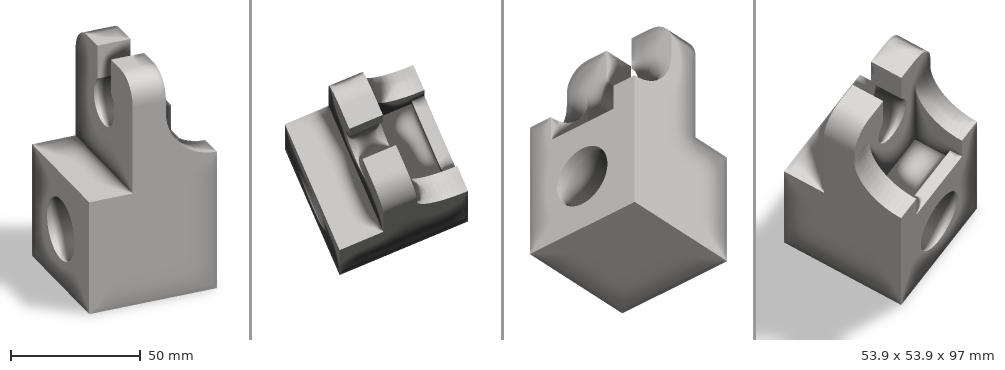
import cadquery as cq

width = 53.9
depth = width
height = 97.0
shoulder_height = height / 2

shoulder_depth = 18.3
cove_radius = 21.5
corner_radius = cove_radius / 2

slot_width = 12.9
keyhole_diameter = 19.4
keyhole_z = height - cove_radius

bore_diameter = 25.9
bore_z = shoulder_height / 2

ear_height = 59.2
ear_thickness = corner_radius
lip_thickness = ear_thickness / 2
floor_z = shoulder_height - lip_thickness

plate_back = depth - cove_radius
channel_width = width - 2 * ear_thickness


def make_body():
    """Side profile, with its concave quarter arc, extruded across the width."""
    arc_top = ear_height + cove_radius
    profile = (
        cq.Workplane("YZ")
        .lineTo(depth, 0)
        .lineTo(depth, ear_height)
        .radiusArc((plate_back, arc_top), cove_radius)
        .lineTo(plate_back, height)
        .lineTo(shoulder_depth, height)
        .lineTo(shoulder_depth, shoulder_height)
        .lineTo(0, shoulder_height)
        .close()
    )
    body = profile.extrude(width / 2, both=True)
    top_corners = body.faces(">Z").edges("|Y")
    return top_corners.fillet(corner_radius)


def box_cut(size_x, y_start, z_start):
    """Cutter centred in X, running to the back and the top of the block."""
    size_y = depth - y_start
    size_z = height - z_start
    return cq.Workplane("XY", origin=(0, y_start, z_start)).box(
        size_x, size_y, size_z, centered=(True, False, False)
    )


def round_cut(diameter, z):
    """Cylindrical cutter through the full depth at height z."""
    return cq.Workplane("XZ", origin=(0, 0, z)).circle(diameter / 2).extrude(-depth)


def channel_cut():
    """Channel behind the plate: open above the lip, deeper in front of it."""
    upper = box_cut(channel_width, plate_back, shoulder_height)
    lip = box_cut(channel_width, depth - lip_thickness, floor_z)
    lower = box_cut(channel_width, plate_back, floor_z).cut(lip)
    return upper.union(lower)


result = (
    make_body()
    .cut(channel_cut())
    .cut(round_cut(bore_diameter, bore_z))
    .cut(round_cut(keyhole_diameter, keyhole_z))
    .cut(box_cut(slot_width, shoulder_depth, keyhole_z))
)